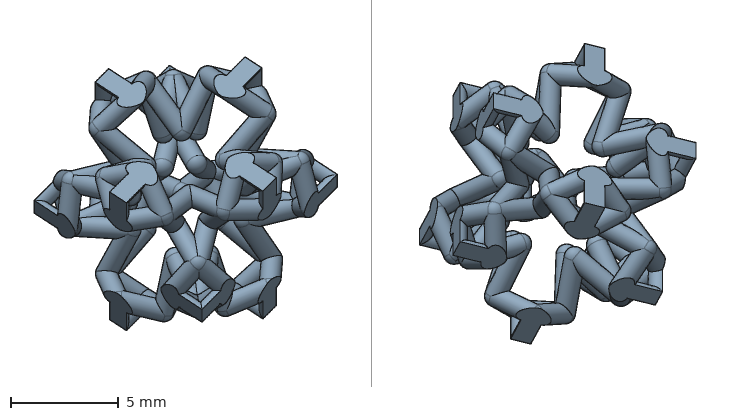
import cadquery as cq

cell_size = 10.0
strut_diameter = 1.0

half_cell = cell_size / 2
strut_radius = strut_diameter / 2

fork_height = 3.05
hub_near = 1.72
hub_far = 3.75
elbow_near = 1.33
elbow_far = 2.43

edge_middle = (0, half_cell, half_cell)
fork_on_y_face = (0, half_cell, fork_height)
fork_on_z_face = (0, fork_height, half_cell)
hub = (hub_near, hub_far, hub_far)
elbow_toward_y = (elbow_near, elbow_far, elbow_near)
elbow_toward_z = (elbow_near, elbow_near, elbow_far)

hub_links = [
    (edge_middle, fork_on_y_face),
    (edge_middle, fork_on_z_face),
    (fork_on_y_face, hub),
    (fork_on_z_face, hub),
    (hub, elbow_toward_y),
    (hub, elbow_toward_z),
]
hubs_per_octant = 3


def cycle_axes(point, turns):
    """Turn a point about the space diagonal of the cell, a third of a circle per turn."""
    for _ in range(turns):
        x, y, z = point
        point = (z, x, y)
    return point


def mirror_point(point, signs):
    """Move a point from the positive octant into the octant with the given signs."""
    return tuple(sign * coordinate for sign, coordinate in zip(signs, point))


def lattice_links():
    """Node pairs joined by struts: those of one hub, repeated for every hub of every octant."""
    octants = [(x, y, z) for x in (1, -1) for y in (1, -1) for z in (1, -1)]
    links = set()
    for signs in octants:
        for turns in range(hubs_per_octant):
            for start, end in hub_links:
                new_start = mirror_point(cycle_axes(start, turns), signs)
                new_end = mirror_point(cycle_axes(end, turns), signs)
                links.add((new_start, new_end))
    return sorted(links)


def strut(start, end):
    """Straight round strut between two nodes."""
    origin = cq.Vector(*start)
    axis = cq.Vector(*end) - origin
    return cq.Solid.makeCylinder(strut_radius, axis.Length, origin, axis)


def node_ball(center):
    """Ball that rounds the joint where struts meet."""
    return cq.Workplane("XY").sphere(strut_radius).translate(center).val()


links = lattice_links()
nodes = sorted({node for link in links for node in link})

struts = [strut(start, end) for start, end in links]
balls = [node_ball(node) for node in nodes]
lattice = struts[0].fuse(*struts[1:], *balls)

cell_box = cq.Workplane("XY").box(cell_size, cell_size, cell_size)
trimmed_lattice = cq.Workplane(lattice).intersect(cell_box)

result = cq.Workplane(trimmed_lattice.solids().val())